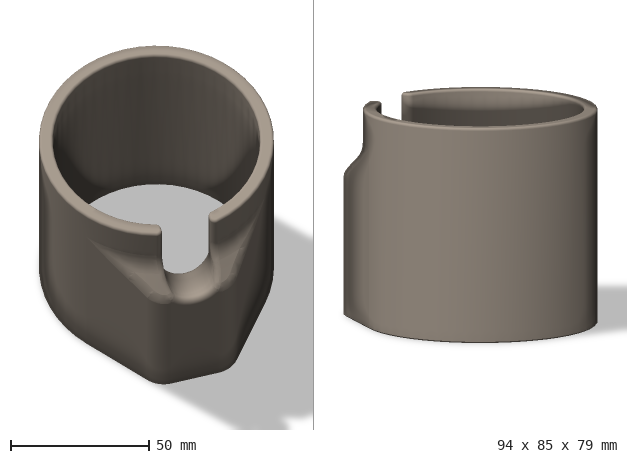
import cadquery as cq
import math

height = 79.0
bore_diameter = 75.0
bore_radius = bore_diameter / 2
wall = 5.0
outer_radius = bore_radius + wall
rim_radius = 1.0
bottom_chamfer = 0.5

lug_face_x = 51.5
flank_angle = math.radians(52.2)
lug_corner_radius = 10.0

shoulder_blend_top = 66.0
shoulder_blend_radius = 10.0
shoulder_angle = math.radians(45)
shoulder_edge_radius = 5.0

slot_radius = 9.0
slot_axis_z = 57.0
slot_edge_radius = 2.0

clearance = 10.0
edge_tolerance = 0.01


def make_lug():
    """Prism from the tube's axis out to the lug's flat face, as tall as the top of the blend."""
    tangent_x = outer_radius * math.cos(flank_angle)
    tangent_y = outer_radius * math.sin(flank_angle)
    corner_y = tangent_y - (lug_face_x - tangent_x) / math.tan(flank_angle)
    prism = (
        cq.Workplane("XY")
        .moveTo(0, 0)
        .lineTo(tangent_x, -tangent_y)
        .lineTo(lug_face_x, -corner_y)
        .lineTo(lug_face_x, corner_y)
        .lineTo(tangent_x, tangent_y)
        .close()
        .extrude(shoulder_blend_top)
    )
    return prism.edges("|Z and >X").fillet(lug_corner_radius)


def make_shoulder_cutter():
    """Ring that leaves a cone on the lug and a concave blend up to the tube."""
    reach = lug_face_x + clearance
    center_r = outer_radius + shoulder_blend_radius
    turn = math.pi / 2 - shoulder_angle

    def blend_point(angle):
        return (
            center_r - shoulder_blend_radius * math.cos(angle),
            shoulder_blend_top - shoulder_blend_radius * math.sin(angle),
        )

    blend_end = blend_point(turn)
    cone_bottom = blend_end[1] - (reach - blend_end[0]) * math.tan(shoulder_angle)
    return (
        cq.Workplane("XZ")
        .moveTo(outer_radius, height)
        .lineTo(outer_radius, shoulder_blend_top)
        .threePointArc(blend_point(turn / 2), blend_end)
        .lineTo(reach, cone_bottom)
        .lineTo(reach, height)
        .close()
        .revolve(360, (0, 0, 0), (0, 1, 0))
    )


def make_slot_cutter():
    """Round-bottomed slot running along X from the axis outward, open at the top."""
    return (
        cq.Workplane("YZ")
        .moveTo(-slot_radius, height + clearance)
        .lineTo(-slot_radius, slot_axis_z)
        .threePointArc((0, slot_axis_z - slot_radius), (slot_radius, slot_axis_z))
        .lineTo(slot_radius, height + clearance)
        .close()
        .extrude(lug_face_x + clearance)
    )


def round_shoulder_edge(blank):
    """Round the edge between the cone and the lug's sides; it fades out where the flanks meet the tube."""
    return blank.faces(">X").edges(">Z").fillet(shoulder_edge_radius)


def round_slot_edges(blank):
    """Round the slot's mouth edges, both in the bore and on the outside."""
    slot_zone = cq.selectors.BoxSelector(
        (0, -slot_radius - edge_tolerance, slot_axis_z - slot_radius - edge_tolerance),
        (lug_face_x + clearance, slot_radius + edge_tolerance, height + clearance),
        boundingbox=True,
    )
    wall_edges = cq.selectors.ParallelDirSelector(cq.Vector(1, 0, 0))
    mouth_edges = blank.edges(slot_zone - wall_edges)
    return mouth_edges.fillet(slot_edge_radius)


tube = cq.Workplane("XY").circle(outer_radius).extrude(height)
bore = cq.Workplane("XY").circle(bore_radius).extrude(height)
lug = make_lug().cut(make_shoulder_cutter())

body = round_shoulder_edge(tube.union(lug))
body = body.faces("<Z").edges().chamfer(bottom_chamfer)
body = body.cut(bore).cut(make_slot_cutter())
body = round_slot_edges(body)
result = body.faces(">Z").edges().fillet(rim_radius)